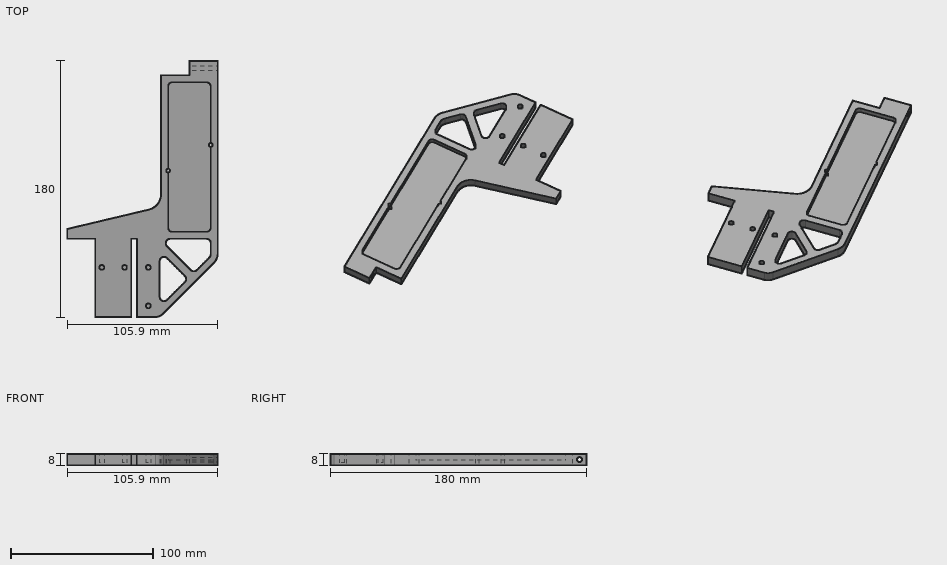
import cadquery as cq
import math

width = 105.92
height = 180.0
thickness = 8.0

column_width = 40.0
column_left = width - column_width
tab_width = 20.0
tab_length = 10.0
shoulder_y = height - tab_length

leg_length = 55.0
right_leg_width = 16.0
slot_width = 4.0
left_leg_width = 25.4
arm_tip_height = 7.0
arm_rise = 15.65
arm_fillet = 11.0

bevel = 40.82
bevel_bottom_fillet = 8.0
bevel_top_fillet = 10.0

bevel_x = width - bevel
slot_right = bevel_x - right_leg_width
slot_left = slot_right - slot_width
left_leg_x = slot_left - left_leg_width
arm_tip_y = leg_length + arm_tip_height

rim = 5.0
web = 6.0
window_fillet = 3.0
web_axis_rise = 10.0

pocket_width = column_width - 2 * rim
pocket_bottom = leg_length + rim
pocket_top = shoulder_y - rim
pocket_length = pocket_top - pocket_bottom
pocket_depth = 4.0
pocket_fillet = 3.0

wall_hole_diameter = 2.5
left_wall_hole_y = 103.0
right_wall_hole_y = 121.0

screw_hole_diameter = 3.4
screw_hole_depth = 6.0
upper_screw_y = 35.0
lower_screw_y = 8.0
screw_spacing = 16.0


def prism(points, depth):
    return cq.Workplane("XY").polyline(points).close().extrude(depth)


def round_corner(body, point, radius):
    """Fillet the upright edge that stands at the given plan position."""
    reach = 0.1
    x, y = point
    box = cq.selectors.BoxSelector(
        (x - reach, y - reach, -reach),
        (x + reach, y + reach, thickness + reach),
    )
    return body.edges("|Z").edges(box).fillet(radius)


def make_plate():
    arm_root = (column_left, arm_tip_y + arm_rise)
    bevel_bottom = (bevel_x, 0)
    bevel_top = (width, bevel)
    plate = prism(
        [
            (left_leg_x, 0),
            (slot_left, 0),
            (slot_left, leg_length),
            (slot_right, leg_length),
            (slot_right, 0),
            bevel_bottom,
            bevel_top,
            (width, height),
            (width - tab_width, height),
            (width - tab_width, shoulder_y),
            (column_left, shoulder_y),
            arm_root,
            (0, arm_tip_y),
            (0, leg_length),
            (left_leg_x, leg_length),
        ],
        thickness,
    )
    plate = round_corner(plate, arm_root, arm_fillet)
    plate = round_corner(plate, bevel_bottom, bevel_bottom_fillet)
    return round_corner(plate, bevel_top, bevel_top_fillet)


def make_windows():
    """Two openings split by a web that runs square to the bevel."""
    inner_bevel = bevel_x - rim * math.sqrt(2)
    half_web = web / 2 * math.sqrt(2)
    upper_face = width + web_axis_rise + half_web
    lower_face = width + web_axis_rise - half_web
    inner_right = width - rim

    left_corner = (upper_face - leg_length, leg_length)
    right_corner = (inner_right, leg_length)
    outer_corner = (inner_right, inner_right - inner_bevel)
    web_corner = ((upper_face + inner_bevel) / 2, (upper_face - inner_bevel) / 2)
    upper = prism([left_corner, right_corner, outer_corner, web_corner], thickness)
    for corner in [left_corner, right_corner, web_corner]:
        upper = round_corner(upper, corner, window_fillet)
    upper = round_corner(upper, outer_corner, bevel_top_fillet - rim)

    lower = prism(
        [
            (bevel_x, bevel_x - inner_bevel),
            ((lower_face + inner_bevel) / 2, (lower_face - inner_bevel) / 2),
            (bevel_x, lower_face - bevel_x),
        ],
        thickness,
    )
    return upper.union(lower.edges("|Z").fillet(window_fillet))


def make_pocket():
    pocket = cq.Workplane("XY").box(pocket_width, pocket_length, pocket_depth, centered=False)
    pocket = pocket.edges("|Z").fillet(pocket_fillet)
    return pocket.translate((column_left + rim, pocket_bottom, thickness - pocket_depth))


def make_wall_holes():
    places = [
        (column_left + rim, left_wall_hole_y),
        (width - rim, right_wall_hole_y),
    ]
    return cq.Workplane("XY").pushPoints(places).circle(wall_hole_diameter / 2).extrude(thickness)


def make_screw_holes():
    left_leg_middle = (left_leg_x + slot_left) / 2
    right_leg_middle = (slot_right + bevel_x) / 2
    places = [
        (left_leg_middle - screw_spacing / 2, upper_screw_y),
        (left_leg_middle + screw_spacing / 2, upper_screw_y),
        (right_leg_middle, upper_screw_y),
        (right_leg_middle, lower_screw_y),
    ]
    top_face = cq.Workplane("XY").workplane(offset=thickness)
    return top_face.pushPoints(places).circle(screw_hole_diameter / 2).extrude(-screw_hole_depth)


def make_tab_hole():
    tab_side = cq.Workplane("YZ").workplane(offset=width - tab_width)
    tab_middle = (shoulder_y + height) / 2
    return tab_side.center(tab_middle, thickness / 2).circle(screw_hole_diameter / 2).extrude(tab_width)


result = (
    make_plate()
    .cut(make_windows())
    .cut(make_pocket())
    .cut(make_wall_holes())
    .cut(make_screw_holes())
    .cut(make_tab_hole())
)